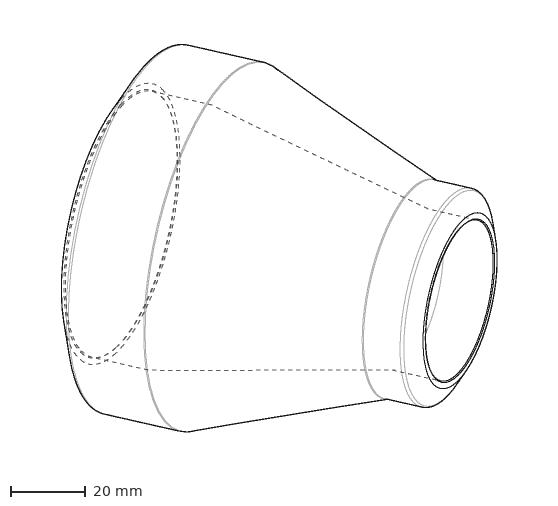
import cadquery as cq
import math

LENGTH = 100.0
LARGE_OUTER_D = 101.6
LARGE_BORE_D = 73.2
SMALL_OUTER_D = 60.3
SMALL_BORE_D = 44.3

LARGE_COLLAR_LENGTH = 30.0
SMALL_COLLAR_LENGTH = 15.0
LARGE_BORE_LENGTH = 17.0
ROOT_FACE = 2.0
BEVEL_ANGLE = 30.0
EDGE_RADIUS = 1.0
MOUTH_CHAMFER = 0.3

large_outer_r = LARGE_OUTER_D / 2
large_bore_r = LARGE_BORE_D / 2
small_outer_r = SMALL_OUTER_D / 2
small_bore_r = SMALL_BORE_D / 2

large_end_x = -LENGTH / 2
small_end_x = LENGTH / 2
cone_start_x = large_end_x + LARGE_COLLAR_LENGTH
cone_end_x = small_end_x - SMALL_COLLAR_LENGTH
bore_taper_start_x = large_end_x + LARGE_BORE_LENGTH


def bevel_length(outer_r, root_r):
    """Axial length of the weld bevel from the root face to the outer surface."""
    return (outer_r - root_r) * math.tan(math.radians(BEVEL_ANGLE))


def revolve_profile(points):
    """Revolve (axial, radial) points, closed along the axis, about the X axis."""
    first_x = points[0][0]
    last_x = points[-1][0]
    outline = [(first_x, 0)] + points + [(last_x, 0)]
    return cq.Workplane("XZ").polyline(outline).close().revolve(360, (0, 0, 0), (1, 0, 0))


def make_body():
    """Solid outer form: bevel, collar, cone, collar, bevel, with rounded edges."""
    large_root_r = large_bore_r + ROOT_FACE
    small_root_r = small_bore_r + ROOT_FACE
    large_bevel_x = large_end_x + bevel_length(large_outer_r, large_root_r)
    small_bevel_x = small_end_x - bevel_length(small_outer_r, small_root_r)
    body = revolve_profile([
        (large_end_x, large_root_r),
        (large_bevel_x, large_outer_r),
        (cone_start_x, large_outer_r),
        (cone_end_x, small_outer_r),
        (small_bevel_x, small_outer_r),
        (small_end_x, small_root_r),
    ])
    edges_between_ends = body.edges("%CIRCLE").edges("not(<X or >X)")
    return edges_between_ends.fillet(EDGE_RADIUS)


def make_bore():
    """Through passage: chamfered mouths and straight bores joined by a taper."""
    return revolve_profile([
        (large_end_x, large_bore_r + MOUTH_CHAMFER),
        (large_end_x + MOUTH_CHAMFER, large_bore_r),
        (bore_taper_start_x, large_bore_r),
        (cone_end_x, small_bore_r),
        (small_end_x - MOUTH_CHAMFER, small_bore_r),
        (small_end_x, small_bore_r + MOUTH_CHAMFER),
    ])


result = make_body().cut(make_bore())